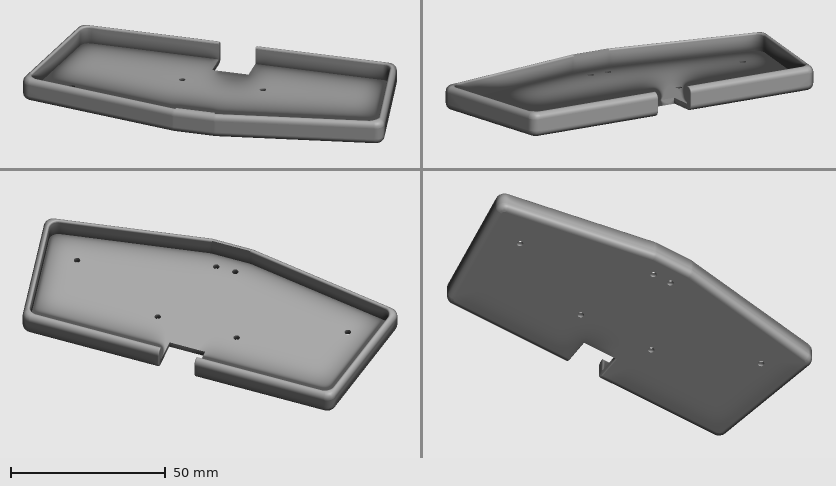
import cadquery as cq
import math

length = 121.2
depth = 53.9
height = 8.1

front_flat = 14.0
slope = math.radians(10)
corner_radius = 3.0

floor = 2.0
wall = 2.0
back_wall = 2.4
edge_radius = 2.0
lip_radius = 0.6

notch_width = 12.2
notch_depth = 10.4
notch_edge_radius = 0.4

hole_diameter = 2.0
hole_places = [(13.6, 19.7), (46.5, 34.3), (3.3, 46.9)]

half_front = front_flat / 2
corner_trim = corner_radius * (math.cos(slope) + math.sin(slope) - 1)
half_widest = length / 2 + corner_trim
widest_y = (half_widest - half_front) * math.tan(slope)
half_back = half_widest - (depth - widest_y) * math.tan(slope)

bend_setback = (wall + corner_radius) * math.tan(slope / 2)
half_front_inside = half_front - bend_setback

through = 3 * height


def make_outline():
    right = [(half_front, 0), (half_widest, widest_y), (half_back, depth)]
    left = [(-x, y) for x, y in reversed(right)]
    return cq.Workplane("XY").polyline(right + left).close()


def make_back_strip(width, reach):
    """Block that covers everything within reach of the back edge."""
    return cq.Workplane("XY").center(0, depth).rect(width, 2 * reach).extrude(through, both=True)


def make_body():
    body = make_outline().extrude(height).edges("|Z").fillet(corner_radius)
    return body.faces("<Z or >Z").edges().fillet(edge_radius)


def cut_notch(body):
    """Cut the notch and round the outer edges of its two sides."""
    notched = body.cut(make_back_strip(notch_width, notch_depth))
    for side in (-1, 1):
        near_top_edge = (side * notch_width / 2, depth - notch_depth / 2, height)
        top_edge = notched.edges(cq.selectors.NearestToPointSelector(near_top_edge))
        notched = top_edge.fillet(notch_edge_radius)
    return notched


def make_cavity():
    cavity = make_outline().offset2D(-wall).extrude(height)
    cavity = cavity.cut(make_back_strip(length, back_wall))
    return cavity.edges("|Z").fillet(corner_radius).translate((0, 0, floor))


def round_lip(tray):
    """Round the whole inner edge of the rim, starting from its back stretch."""
    near_lip = (0, depth - back_wall, height)
    return tray.edges(cq.selectors.NearestToPointSelector(near_lip)).fillet(lip_radius)


def keep_front_lip(tray):
    """The flat front stretch of the rim, where the inner edge stays sharp."""
    return tray.intersect(cq.Workplane("XY").box(2 * half_front_inside, 4 * wall, through))


def make_holes():
    centers = [(side * x, depth - back) for x, back in hole_places for side in (-1, 1)]
    return cq.Workplane("XY").pushPoints(centers).circle(hole_diameter / 2).extrude(height)


body = make_body()
sharp_tray = body.cut(make_cavity())
tray = round_lip(sharp_tray).union(keep_front_lip(sharp_tray))
result = tray.intersect(cut_notch(body)).cut(make_holes())